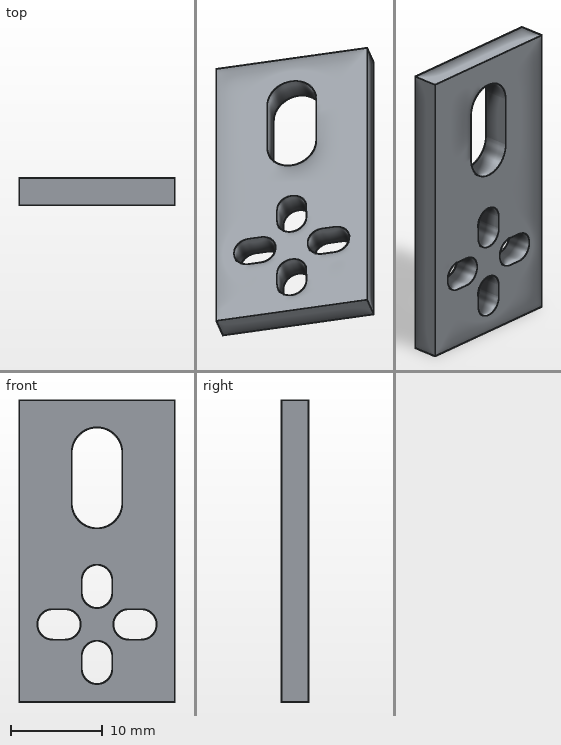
import cadquery as cq

plate_width = 17.0
plate_thickness = 3.0
plate_height = 33.0

large_slot_width = 5.5
large_slot_length = 11.0
large_slot_top_margin = 3.0
large_slot_z = plate_height - large_slot_top_margin - large_slot_length / 2

small_slot_width = 3.3
small_slot_length = 4.7
cross_span = 13.0
cross_z = plate_width / 2
small_slot_offset = (cross_span - small_slot_length) / 2

upright = 90
level = 0


def make_plate():
    """Plate centred on X and Y with its bottom edge at Z = 0."""
    return cq.Workplane("XY").box(
        plate_width, plate_thickness, plate_height, centered=(True, True, False)
    )


def cut_slot(body, x, z, length, width, angle):
    """Cut a round-ended slot through the full thickness, centred at (x, z)."""
    cutter = (
        cq.Workplane("XZ")
        .center(x, z)
        .slot2D(length, width, angle)
        .extrude(plate_thickness, both=True)
    )
    return body.cut(cutter)


def cut_slot_cross(body):
    """Cut the four small slots, each pointing at the centre of the cross."""
    for side in (-1, 1):
        shift = side * small_slot_offset
        body = cut_slot(body, shift, cross_z, small_slot_length, small_slot_width, level)
        body = cut_slot(body, 0, cross_z + shift, small_slot_length, small_slot_width, upright)
    return body


plate = make_plate()
plate = cut_slot(plate, 0, large_slot_z, large_slot_length, large_slot_width, upright)
result = cut_slot_cross(plate)